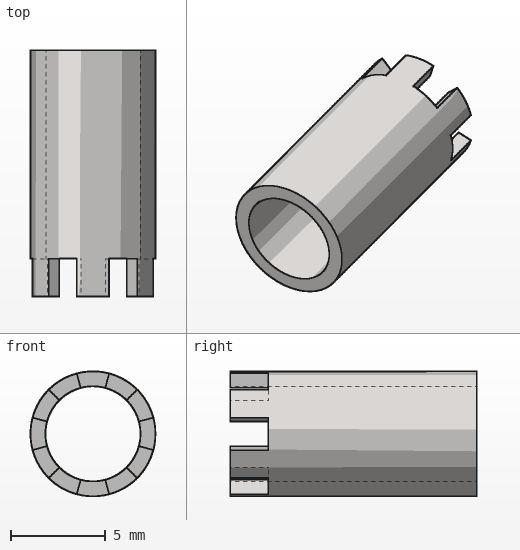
import cadquery as cq
import math

length = 13.0
outer_diameter = 6.6
inner_diameter = 5.0
tooth_length = 2.0
tooth_count = 6

pitch_angle = 360 / tooth_count
gap_angle = pitch_angle / 2
wedge_reach = outer_diameter


def make_tube():
    """Plain tube from the tooth tips at Y = 0 to the flat end at Y = length."""
    return (
        cq.Workplane("XZ")
        .circle(outer_diameter / 2)
        .circle(inner_diameter / 2)
        .extrude(-length)
    )


def make_gap(center_angle):
    """Wedge between two teeth, with its point on the tube axis."""
    flank_angles = [math.radians(center_angle + side * gap_angle / 2) for side in (-1, 1)]
    corners = [(wedge_reach * math.cos(a), wedge_reach * math.sin(a)) for a in flank_angles]
    return cq.Workplane("XZ").polyline([(0, 0)] + corners).close().extrude(-tooth_length)


result = make_tube()
for gap_index in range(tooth_count):
    result = result.cut(make_gap(gap_index * pitch_angle))